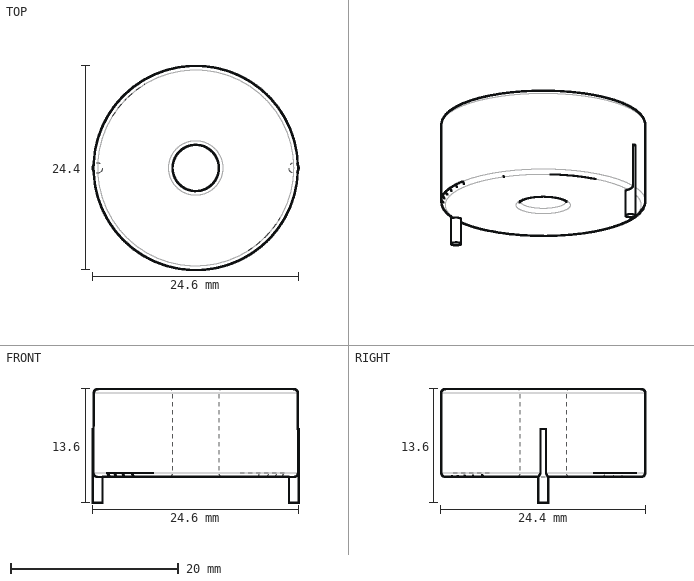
import cadquery as cq

body_diameter = 24.4
body_height = 10.5
bore_diameter = 5.5
edge_radius = 0.5

pin_diameter = 1.2
pin_span = 24.6
pin_projection = 3.1
pin_embedded_length = 5.7
pin_offset = (pin_span - pin_diameter) / 2


def make_body():
    """Ring with all four circular edges rounded."""
    ring = (
        cq.Workplane("XY")
        .circle(body_diameter / 2)
        .circle(bore_diameter / 2)
        .extrude(body_height)
    )
    return ring.faces("<Z or >Z").edges().fillet(edge_radius)


def make_pin(x_position):
    """Straight vertical pin on the X axis."""
    return (
        cq.Workplane("XY", origin=(x_position, 0, -pin_projection))
        .circle(pin_diameter / 2)
        .extrude(pin_projection + pin_embedded_length)
    )


result = make_body()
for side in (-1, 1):
    result = result.union(make_pin(side * pin_offset))